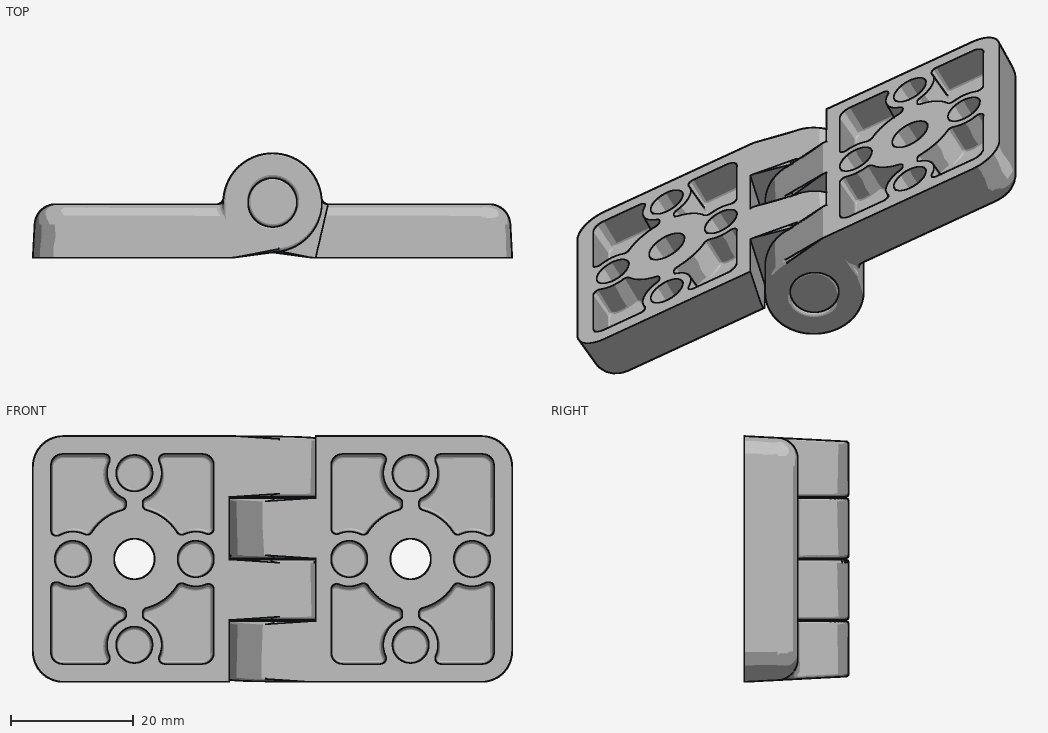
import cadquery as cq
import math

LENGTH = 78.0
HEIGHT = 40.0
DRAFT = 3.0

PLATE_THICKNESS = 8.7
CORNER_RADIUS = 5.0
RIM_RADIUS = 3.5
RAMP_START = 6.4
RECESS_FOOT = 7.0
RECESS_HEAD = 9.05

BARREL_RADIUS = 8.0
AXIS_Y = 9.0
KNUCKLE_ROWS = 4
KNUCKLE_CLEARANCE = 0.12
KNUCKLE_ROUND = 0.5
BLEND_RADIUS = 1.0
PIN_RADIUS = 4.0
PIN_ROUND = 0.5
PIN_RECESS = 0.9

SCREW_X = 22.5
SCREW_HOLE_RADIUS = 3.3
BLIND_HOLE_RADIUS = 3.0
BLIND_HOLE_FLOOR_ROUND = 0.3
BLIND_OFFSET_X = 10.0
BLIND_OFFSET_Z = 14.0
POCKET_DEPTH = 5.0
POCKET_OUTER_X = 13.6
POCKET_INNER_X = 12.95
POCKET_HALF_Z = 17.1
BLIND_BOSS_RADIUS = 4.45
SCREW_BOSS_RADIUS = 8.2
RIB_WIDTH = 2.65
POCKET_OUTER_CORNER = 1.9
POCKET_CORNER = 0.9
POCKET_FLOOR_ROUND = 0.5

HALF_LENGTH = LENGTH / 2
HALF_HEIGHT = HEIGHT / 2
ROW_HEIGHT = HEIGHT / KNUCKLE_ROWS
TOP_Y = AXIS_Y + BARREL_RADIUS
PICK_MARGIN = 0.1
DRAFT_SLOPE = math.tan(math.radians(DRAFT))

SIGHT_LENGTH = math.hypot(RAMP_START, AXIS_Y)
RAMP_ANGLE = math.atan2(AXIS_Y, RAMP_START) - math.asin(BARREL_RADIUS / SIGHT_LENGTH)


def ramp_normal_point(radius):
    """XY point at a radius from the axis, on the ramp's normal through the axis."""
    return radius * math.sin(RAMP_ANGLE), AXIS_Y - radius * math.cos(RAMP_ANGLE)


def prism_along_z(outline):
    """Full-height prism of a closed outline drawn in XY."""
    return outline.extrude(HALF_HEIGHT, both=True)


def knuckle_slab(z_low, z_high, lean):
    """Wide block between two heights, spanning the hinge's middle.

    The upper face drops by lean between the mounting face and the top of the barrel.
    """
    return (
        cq.Workplane("YZ")
        .polyline([(0, z_low), (TOP_Y, z_low), (TOP_Y, z_high - lean), (0, z_high)])
        .close()
        .extrude(HALF_LENGTH / 2, both=True)
    )


def tetrahedron(a, b, c, d):
    """Solid with four corner points."""
    faces = [
        cq.Face.makeFromWires(cq.Wire.makePolygon([cq.Vector(*p) for p in corners], close=True))
        for corners in ((a, b, c), (a, b, d), (a, c, d), (b, c, d))
    ]
    return cq.Workplane(cq.Solid.makeSolid(cq.Shell.makeShell(faces)))


def make_plate():
    """Drafted plate with a rounded rear edge, trimmed square at the start of the ramp."""
    outline = cq.Sketch().rect(LENGTH, HEIGHT).vertices().fillet(CORNER_RADIUS)
    plate = cq.Workplane("XZ").placeSketch(outline).extrude(-PLATE_THICKNESS, taper=DRAFT)
    plate = plate.faces(">Y").edges().fillet(RIM_RADIUS)
    keep = cq.Workplane("XY").box(HALF_LENGTH, TOP_Y, HEIGHT, centered=(False, False, True))
    return plate.intersect(keep.translate((-HALF_LENGTH - RAMP_START, 0, 0)))


def make_recess(slabs):
    """Room for the other leaf's knuckles: behind the slanted wall, outside this leaf's slabs."""
    wall_foot = (-RECESS_FOOT, 0)
    wall_head = (-RECESS_HEAD, PLATE_THICKNESS)
    recess = prism_along_z(
        cq.Workplane("XY").polyline([wall_foot, wall_head, (0, PLATE_THICKNESS), (0, 0)]).close()
    )
    for slab in slabs:
        recess = recess.cut(slab)
    return recess


def make_barrel(slab):
    """Barrel with a straight flank down into the plate and rounded end edges."""
    bottom_y = AXIS_Y - BARREL_RADIUS
    diagonal = BARREL_RADIUS * math.sqrt(0.5)
    barrel = prism_along_z(
        cq.Workplane("XY")
        .moveTo(-BARREL_RADIUS, AXIS_Y)
        .threePointArc((diagonal, AXIS_Y + diagonal), (0, bottom_y))
        .lineTo(-BARREL_RADIUS, bottom_y)
        .close()
    )
    return barrel.intersect(slab).faces("<Z or >Z").edges().fillet(KNUCKLE_ROUND)


def make_web(slab, ends):
    """Ramp-bottomed web under the barrel; flat facets carry the barrel's rounds out to the ramp's start."""
    start = (-RAMP_START, 0)
    tangent = ramp_normal_point(BARREL_RADIUS)
    inner = ramp_normal_point(BARREL_RADIUS - KNUCKLE_ROUND)
    outline = [start, tangent, (0, AXIS_Y), (-RAMP_START, PLATE_THICKNESS / 2)]
    web = prism_along_z(cq.Workplane("XY").polyline(outline).close()).intersect(slab)
    for z_end, inward in ends:
        web = web.cut(
            tetrahedron(
                (*start, z_end),
                (*tangent, z_end),
                (*tangent, z_end + inward * KNUCKLE_ROUND),
                (*inner, z_end),
            )
        )
    return web


def blend_barrels(leaf):
    """Concave round where the barrel flanks rise out of the plate's rear face."""
    root_line = cq.selectors.BoxSelector(
        (-BARREL_RADIUS - PICK_MARGIN, PLATE_THICKNESS - RIM_RADIUS / 2, -HALF_HEIGHT),
        (-BARREL_RADIUS + PICK_MARGIN, PLATE_THICKNESS + PICK_MARGIN, HALF_HEIGHT),
    )
    return leaf.edges(root_line).edges("|Z or %CIRCLE").fillet(BLEND_RADIUS)


def make_pocket(reach_x):
    """Drafted pocket in the -X +Z quadrant around the screw hole, cleared around the bosses."""
    outline = (
        cq.Sketch()
        .push([(-reach_x / 2, POCKET_HALF_Z / 2)])
        .rect(reach_x, POCKET_HALF_Z)
        .reset()
        .push([(0, 0)])
        .circle(SCREW_BOSS_RADIUS, mode="s")
        .rect(RIB_WIDTH, 2 * BLIND_OFFSET_Z, mode="s")
        .reset()
        .push([(-BLIND_OFFSET_X, 0), (0, BLIND_OFFSET_Z)])
        .circle(BLIND_BOSS_RADIUS, mode="s")
        .reset()
    )
    outline = outline.vertices("not (<X and >Y)").fillet(POCKET_CORNER).reset()
    outline = outline.vertices("<X and >Y").fillet(POCKET_OUTER_CORNER).reset()
    pocket = cq.Workplane("XZ").placeSketch(outline).extrude(-POCKET_DEPTH, taper=DRAFT)
    return pocket.faces(">Y").edges().fillet(POCKET_FLOOR_ROUND)


def make_blind_hole():
    """Drafted blind hole as deep as the pockets, with a rounded floor corner."""
    hole = cq.Workplane("XZ").circle(BLIND_HOLE_RADIUS).extrude(-POCKET_DEPTH, taper=DRAFT)
    return hole.faces(">Y").edges().fillet(BLIND_HOLE_FLOOR_ROUND)


def cut_pin_hole(leaf):
    """Through hole along the hinge axis, its mouth rounded at the leaf's outer end."""
    bore = prism_along_z(cq.Workplane("XY").center(0, AXIS_Y).circle(PIN_RADIUS))
    mouth = cq.selectors.BoxSelector(
        (-PIN_RADIUS, AXIS_Y - PIN_RADIUS, HALF_HEIGHT - ROW_HEIGHT / 4),
        (PIN_RADIUS, AXIS_Y + PIN_RADIUS, HALF_HEIGHT),
    )
    return leaf.cut(bore).edges(mouth).edges("not |Z").fillet(PIN_ROUND)


def make_mounting_tools():
    """Cutting shapes for the screw hole, blind holes and pockets of the leaf."""
    tools = cq.Workplane("XZ").circle(SCREW_HOLE_RADIUS).extrude(-PLATE_THICKNESS)
    blind_hole = make_blind_hole()
    for side in (-1, 1):
        tools = tools.add(blind_hole.translate((side * BLIND_OFFSET_X, 0, 0)))
        tools = tools.add(blind_hole.translate((0, 0, side * BLIND_OFFSET_Z)))
    outer_pocket = make_pocket(POCKET_OUTER_X)
    inner_pocket = make_pocket(POCKET_INNER_X).mirror("YZ")
    for pocket in (outer_pocket, inner_pocket):
        tools = tools.add(pocket).add(pocket.mirror("XY"))
    return [tool.translate((-SCREW_X, 0, 0)) for tool in tools.vals()]


def make_leaf():
    """Leaf on the -X side, with knuckles in the first and third rows from the top."""
    rows = [
        (ROW_HEIGHT + KNUCKLE_CLEARANCE, HALF_HEIGHT, TOP_Y * DRAFT_SLOPE),
        (-ROW_HEIGHT + KNUCKLE_CLEARANCE, -KNUCKLE_CLEARANCE, 0),
    ]
    slabs = [knuckle_slab(*row) for row in rows]
    leaf = make_plate().cut(make_recess(slabs))
    for (z_low, z_high, _), slab in zip(rows, slabs):
        leaf = leaf.union(make_barrel(slab)).union(make_web(slab, [(z_low, 1), (z_high, -1)]))
    leaf = cut_pin_hole(blend_barrels(leaf))
    for tool in make_mounting_tools():
        leaf = leaf.cut(cq.Workplane(tool))
    return leaf


def make_pin():
    """Pin with rounded ends, set slightly inside the outer knuckles."""
    half_length = HALF_HEIGHT - PIN_RECESS
    pin = cq.Workplane("XY").center(0, AXIS_Y).circle(PIN_RADIUS).extrude(half_length, both=True)
    return pin.edges("%CIRCLE").fillet(PIN_ROUND)


leaf = make_leaf()
leaves = [leaf.rotate((0, 0, 0), (0, 1, 0), turn) for turn in (0, 180)]
pin = make_pin()

result = cq.Compound.makeCompound([*[body.val() for body in leaves], pin.val()])